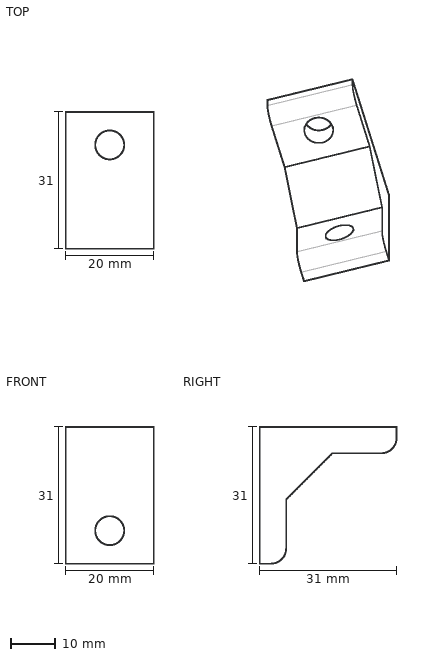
import cadquery as cq

width = 20.0
leg_length = 31.0
leg_thickness = 6.0

gusset_reach = 16.43
tip_radius = 3.5

hole_diameter = 6.5
hole_from_tip = 7.5

outer_face_y = -leg_length / 2
outer_face_z = leg_length / 2
hole_offset = leg_length - hole_from_tip


def bracket_body():
    """Angle bracket with a sloped gusset and rounded inner tip corners."""
    outline = [
        (0, 0),
        (leg_length, 0),
        (leg_length, -leg_thickness),
        (gusset_reach, -leg_thickness),
        (leg_thickness, -gusset_reach),
        (leg_thickness, -leg_length),
        (0, -leg_length),
    ]
    body = (
        cq.Workplane("YZ", origin=(0, outer_face_y, outer_face_z))
        .polyline(outline)
        .close()
        .extrude(width / 2, both=True)
    )
    inner_tip_points = [
        (0, outer_face_y + leg_length, outer_face_z - leg_thickness),
        (0, outer_face_y + leg_thickness, outer_face_z - leg_length),
    ]
    for point in inner_tip_points:
        body = body.edges(cq.selectors.NearestToPointSelector(point)).fillet(tip_radius)
    return body


def leg_hole(plane, center):
    """Cylinder through one leg, centred across the width."""
    return (
        cq.Workplane(plane, origin=center)
        .circle(hole_diameter / 2)
        .extrude(leg_thickness, both=True)
    )


top_hole = leg_hole("XY", (0, outer_face_y + hole_offset, outer_face_z))
front_hole = leg_hole("XZ", (0, outer_face_y, outer_face_z - hole_offset))

result = bracket_body().cut(top_hole).cut(front_hole)